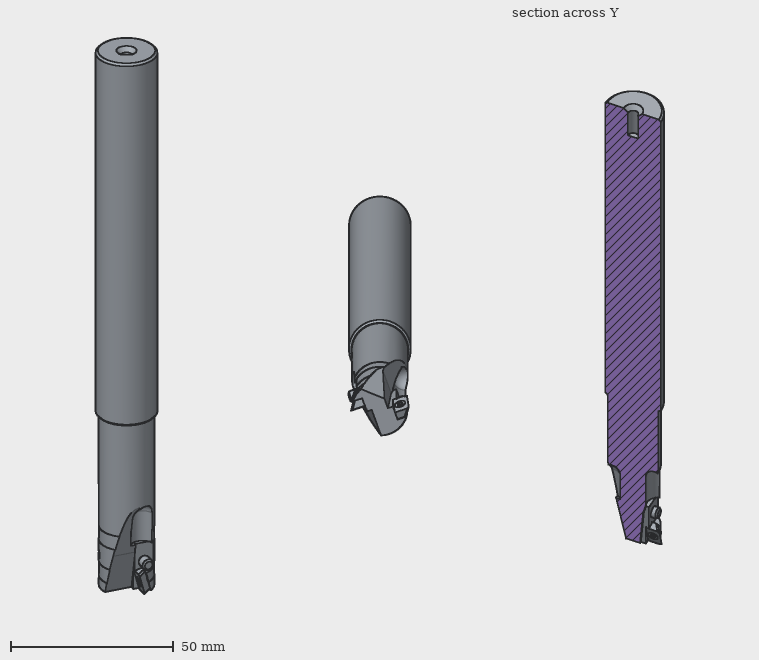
import cadquery as cq
import math

TOTAL_LENGTH = 183.2
SHANK_RADIUS = 9.5
SHANK_BOTTOM = 59.0
SHANK_CHAMFER = 0.7
NECK_RADIUS = 8.6
NOSE_CLEARANCE = 0.4
CENTRE_HOLE_RADIUS = 1.6
CENTRE_HOLE_DEPTH = 11.0
COUNTERSINK_RADIUS = 3.1
COUNTERSINK_ANGLE = 90.0

BANDS = [(3.7, 8.6), (16.0, 20.7)]
BAND_DEPTH = 0.1

INSERT_FACE_Y = -0.5
INSERT_TOP_Z = 7.1
INSERT_TILT = 15.0
INSERT_THICKNESS = 2.5
INSERT_INNER_X = -4.0
INSERT_OUTER_X = -8.6
INSERT_FLANK_RELIEF = 1.6
INSERT_CORNER = 0.5
SEAT_CLEARANCE = 3.3

SCREW_X = -6.0
SCREW_HEAD_RADIUS = 1.6
SCREW_HEAD_HEIGHT = 1.1
SCREW_SHANK_RADIUS = 0.7
SCREW_LENGTH = 3.0
SOCKET_SIDES = 6
SOCKET_WIDTH = 1.6
SOCKET_DEPTH = 0.7

FLUTE_NOSE_X = -2.4
FLUTE_BEND_Z = 13.7
GROOVE_RADIUS = 3.7
GROOVE_X = -7.3
GROOVE_Y = -2.2

RECESS_FLOOR_X = -5.1
RECESS_DEEP_Y = -6.8
RECESS_TOP_Z = 16.3
BOSS_RADIUS = 1.8
BOSS_CHAMFER = 0.5

TEETH = [
    {"angle": 0, "bend_x": -3.5, "flute_top": 33.3, "boss_z": 11.7, "boss_end_x": -7.1},
    {"angle": 180, "bend_x": -5.3, "flute_top": 30.2, "boss_z": 9.9, "boss_end_x": -8.6},
]

RELIEF_INNER = (-2.5, 2.4)
RELIEF_OUTER = (4.0, 8.5)
RELIEF_HEIGHT = 33.0
RELIEF_LEAN = 0.45

OUTLETS = [(-2.4, 11.4, 1.5), (-4.5, 1.6, 1.0)]
OUTLET_DEPTH = 1.5

CLEAR = 2 * SHANK_RADIUS
INSERT_BACK_Y = INSERT_FACE_Y - INSERT_THICKNESS
INSERT_HEIGHT = INSERT_TOP_Z / math.cos(math.radians(INSERT_TILT))
INSERT_BOTTOM_Z = INSERT_TOP_Z - INSERT_HEIGHT
SCREW_Z = INSERT_TOP_Z - INSERT_HEIGHT / 2


def turned(shape, angle):
    """Turn a shape about the tool axis."""
    return shape.rotate((0, 0, 0), (0, 0, 1), angle)


def tilted(shape):
    """Lean a shape back about the top edge of the insert face."""
    start = (0, INSERT_FACE_Y, INSERT_TOP_Z)
    end = (1, INSERT_FACE_Y, INSERT_TOP_Z)
    return shape.rotate(start, end, -INSERT_TILT)


def box_between(x_range, y_range, z_range):
    """Box given by its (low, high) limits along each axis."""
    lows, highs = zip(x_range, y_range, z_range)
    sizes = [high - low for low, high in zip(lows, highs)]
    return cq.Workplane("XY").box(*sizes, centered=False).translate(lows)


def plane_across_y(x, y, z):
    """Workplane at a point; positive extrusions run toward -Y."""
    return cq.Workplane("XZ", origin=(x, y, z))


def make_blank():
    """Turned shank and neck with a countersunk centre hole in the top."""
    neck_length = SHANK_BOTTOM - NOSE_CLEARANCE
    neck = cq.Workplane("XY", origin=(0, 0, NOSE_CLEARANCE)).circle(NECK_RADIUS).extrude(neck_length)
    shank = (
        cq.Workplane("XY", origin=(0, 0, SHANK_BOTTOM))
        .circle(SHANK_RADIUS)
        .extrude(TOTAL_LENGTH - SHANK_BOTTOM)
        .edges()
        .chamfer(SHANK_CHAMFER)
    )
    blank = neck.union(shank)
    return blank.faces(">Z").workplane().cskHole(
        2 * CENTRE_HOLE_RADIUS, 2 * COUNTERSINK_RADIUS, COUNTERSINK_ANGLE, CENTRE_HOLE_DEPTH
    )


def make_band(bottom, top):
    """Ring that relieves the neck between two heights."""
    return (
        cq.Workplane("XY", origin=(0, 0, bottom))
        .circle(SHANK_RADIUS)
        .circle(NECK_RADIUS - BAND_DEPTH)
        .extrude(top - bottom)
    )


def make_flute(bend_x, flute_top):
    """Chip space in front of the insert, running out up the neck."""
    gash = (
        plane_across_y(0, INSERT_FACE_Y, 0)
        .polyline([
            (FLUTE_NOSE_X, 0),
            (bend_x, FLUTE_BEND_Z),
            (-NECK_RADIUS, flute_top),
            (-CLEAR, flute_top),
            (-CLEAR, 0),
        ])
        .close()
        .extrude(-CLEAR)
    )
    ball_z = flute_top - GROOVE_RADIUS
    groove = (
        cq.Workplane("XY", origin=(GROOVE_X, GROOVE_Y, RECESS_TOP_Z))
        .circle(GROOVE_RADIUS)
        .extrude(ball_z - RECESS_TOP_Z)
    )
    ball = cq.Workplane("XY").sphere(GROOVE_RADIUS).translate((GROOVE_X, GROOVE_Y, ball_z))
    return gash.union(groove).union(ball)


def make_recess():
    """Recess in the flute wall above the insert."""
    return box_between(
        (-CLEAR, RECESS_FLOOR_X), (RECESS_DEEP_Y, INSERT_FACE_Y), (INSERT_TOP_Z, RECESS_TOP_Z)
    )


def make_boss(boss_z, boss_end_x):
    """Round boss standing on the recess floor."""
    boss_y = (RECESS_DEEP_Y + INSERT_FACE_Y) / 2
    return (
        cq.Workplane("YZ", origin=(RECESS_FLOOR_X, boss_y, boss_z))
        .circle(BOSS_RADIUS)
        .extrude(boss_end_x - RECESS_FLOOR_X)
        .faces("<X")
        .chamfer(BOSS_CHAMFER)
    )


def make_seat():
    """Open pocket that holds the insert and clears the space in front of its face."""
    front_y = INSERT_FACE_Y + SEAT_CLEARANCE
    pocket = box_between((-CLEAR, INSERT_INNER_X), (INSERT_BACK_Y, front_y), (-CLEAR, INSERT_TOP_Z))
    return tilted(pocket)


def make_relief():
    """Oblique prism that opens the flute further toward +Y near the nose."""
    (inner_x, inner_y), (outer_x, outer_y) = RELIEF_INNER, RELIEF_OUTER
    outline = [
        (inner_x, inner_y),
        (outer_x, outer_y),
        (outer_x, CLEAR),
        (inner_x - CLEAR, CLEAR),
        (inner_x - CLEAR, inner_y),
    ]
    shift = RELIEF_LEAN * RELIEF_HEIGHT
    return (
        cq.Workplane("XY")
        .polyline(outline)
        .close()
        .workplane(offset=RELIEF_HEIGHT)
        .polyline([(x - shift, y) for x, y in outline])
        .close()
        .loft(ruled=True)
    )


def make_outlet(x, z, radius):
    """Blind round hole entering from -Y."""
    surface_y = -math.sqrt(NECK_RADIUS**2 - x**2)
    return plane_across_y(x, surface_y + OUTLET_DEPTH, z).circle(radius).extrude(CLEAR)


def make_screw_envelope():
    """Countersunk screw without its drive socket."""
    neck_y = INSERT_FACE_Y - SCREW_HEAD_HEIGHT
    end_y = INSERT_FACE_Y - SCREW_LENGTH
    profile = [
        (0, INSERT_FACE_Y),
        (SCREW_HEAD_RADIUS, INSERT_FACE_Y),
        (SCREW_SHANK_RADIUS, neck_y),
        (SCREW_SHANK_RADIUS, end_y),
        (0, end_y),
    ]
    screw = cq.Workplane("XY").polyline(profile).close().revolve(360, (0, 0, 0), (0, 1, 0))
    return screw.translate((SCREW_X, 0, SCREW_Z))


def make_screw():
    """Insert screw with a hexagonal drive socket in its head."""
    socket = (
        plane_across_y(SCREW_X, INSERT_FACE_Y, SCREW_Z)
        .polygon(SOCKET_SIDES, SOCKET_WIDTH)
        .extrude(SOCKET_DEPTH)
    )
    return tilted(make_screw_envelope().cut(socket))


def make_insert():
    """Flat cutting insert with a relieved flank, chamfered outer corners and a countersunk hole."""
    blank = (
        cq.Workplane("XY", origin=(0, 0, INSERT_BOTTOM_Z))
        .polyline([
            (INSERT_INNER_X, INSERT_FACE_Y),
            (INSERT_OUTER_X, INSERT_FACE_Y),
            (INSERT_OUTER_X + INSERT_FLANK_RELIEF, INSERT_BACK_Y),
            (INSERT_INNER_X, INSERT_BACK_Y),
        ])
        .close()
        .extrude(INSERT_HEIGHT)
    )
    outer_corners = blank.faces("<X").edges(">Z or <Z")
    return tilted(outer_corners.chamfer(INSERT_CORNER).cut(make_screw_envelope()))


def make_holder():
    """Holder with its flutes, seats, recesses, bosses, relief bands and outlets."""
    holder = make_blank().cut(make_relief())
    for bottom, top in BANDS:
        holder = holder.cut(make_band(bottom, top))
    for x, z, radius in OUTLETS:
        holder = holder.cut(make_outlet(x, z, radius))
    for tooth in TEETH:
        cutters = [
            make_flute(tooth["bend_x"], tooth["flute_top"]),
            make_recess(),
            make_seat(),
            tilted(make_screw_envelope()),
        ]
        for cutter in cutters:
            holder = holder.cut(turned(cutter, tooth["angle"]))
        boss = make_boss(tooth["boss_z"], tooth["boss_end_x"])
        holder = holder.union(turned(boss, tooth["angle"]))
    return holder


holder = make_holder()
inserts = [turned(make_insert(), tooth["angle"]).val() for tooth in TEETH]
screws = [turned(make_screw(), tooth["angle"]).val() for tooth in TEETH]

result = cq.Compound.makeCompound([holder.solids().val(), *inserts, *screws])